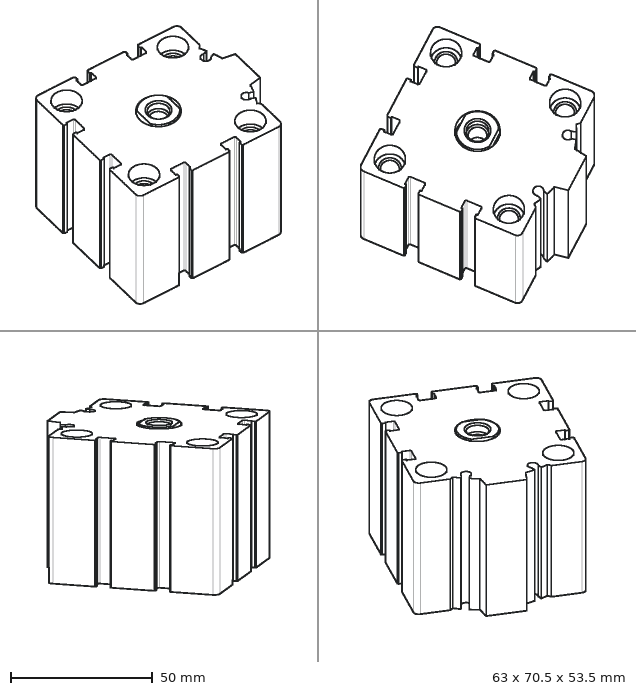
import cadquery as cq
import math

BODY_SIZE = 63.0
BODY_HEIGHT = 53.0
HALF = BODY_SIZE / 2
CORNER_RADIUS = 2.0
OVERALL_DEPTH = 70.5

TAB_TOP_Y = OVERALL_DEPTH - HALF
TAB_TOP_HALF_WIDTH = 7.5
TAB_DRAFT = 10.0
SHOULDER_RADIUS = 35.0
RELIEF_START = 18.5

KEYHOLE_ANGLE = 22.5
KEYHOLE_RADIUS = 31.95
KEYHOLE_DIAMETER = 3.8
KEYHOLE_NECK = 2.95

SLOT_OFFSET = 11.0
SLOT_MOUTH = 5.3
SLOT_WIDTH = 6.5
SLOT_DEPTH = 5.1
SLOT_LIP = 1.7
SLOT_CORNER_RADIUS = 0.5
SLOT_EDGE_CHAMFER = 0.35

HOLE_SPACING = 46.45
HOLE_DIAMETER = 6.6
HOLE_CHAMFER_DIAMETER = 8.0
COUNTERBORE_DIAMETER = 11.0
COUNTERBORE_DEPTH = 6.85

ROD_DIAMETER = 16.0
ROD_TOP = 53.5
ROD_BASE = 14.1
ROD_CHAMFER = 0.5
FLATS_WIDTH = 13.0
FLATS_HEIGHT = 5.0

MOUTH_DIAMETER = 9.4
THREAD_DIAMETER = 8.05
THREAD_DEPTH = 3.25
DRILL_DIAMETER = 6.6
DRILL_DEPTH = 12.0
DRILL_POINT_ANGLE = 118.0


def shoulder_y(x):
    """Height of the round shoulder at a given x."""
    return math.sqrt(SHOULDER_RADIUS**2 - x**2)


def tab_foot_x():
    """Half width of the tab where its drafted side meets the shoulder."""
    slope = math.tan(math.radians(TAB_DRAFT))
    intercept = TAB_TOP_HALF_WIDTH + TAB_TOP_Y * slope
    a = 1 + slope**2
    b = -2 * intercept * slope
    c = intercept**2 - SHOULDER_RADIUS**2
    y = (-b + math.sqrt(b**2 - 4 * a * c)) / (2 * a)
    return intercept - slope * y


def relief_foot_x():
    """Half width where the 45 degree relief cut, y = HALF - (RELIEF_START - x), meets the shoulder."""
    drop = HALF - RELIEF_START
    return (-drop + math.sqrt(2 * SHOULDER_RADIUS**2 - drop**2)) / 2


def housing_blank():
    foot = tab_foot_x()
    relief = relief_foot_x()
    middle = (foot + relief) / 2
    outline = (
        cq.Workplane("XY")
        .moveTo(-HALF, -HALF)
        .lineTo(HALF, -HALF)
        .lineTo(HALF, HALF)
        .lineTo(RELIEF_START, HALF)
        .lineTo(relief, shoulder_y(relief))
        .threePointArc((middle, shoulder_y(middle)), (foot, shoulder_y(foot)))
        .lineTo(TAB_TOP_HALF_WIDTH, TAB_TOP_Y)
        .lineTo(-TAB_TOP_HALF_WIDTH, TAB_TOP_Y)
        .lineTo(-foot, shoulder_y(foot))
        .threePointArc((-middle, shoulder_y(middle)), (-relief, shoulder_y(relief)))
        .lineTo(-RELIEF_START, HALF)
        .lineTo(-HALF, HALF)
        .close()
    )
    corners = cq.selectors.BoxSelector((-HALF - 0.7, -HALF - 0.7, 0), (-HALF + 0.7, HALF + 0.7, BODY_HEIGHT))
    corners += cq.selectors.BoxSelector((HALF - 0.7, -HALF - 0.7, 0), (HALF + 0.7, HALF + 0.7, BODY_HEIGHT))
    return outline.extrude(BODY_HEIGHT).edges("|Z").edges(corners).fillet(CORNER_RADIUS)


def t_slot(side_angle, offset):
    """T-slot cutter for the side reached by turning the -Y side by side_angle about Z."""
    mouth = (
        cq.Workplane("XY")
        .moveTo(-SLOT_MOUTH / 2 - SLOT_EDGE_CHAMFER, 0)
        .lineTo(-SLOT_MOUTH / 2, SLOT_EDGE_CHAMFER)
        .lineTo(-SLOT_MOUTH / 2, SLOT_DEPTH)
        .lineTo(SLOT_MOUTH / 2, SLOT_DEPTH)
        .lineTo(SLOT_MOUTH / 2, SLOT_EDGE_CHAMFER)
        .lineTo(SLOT_MOUTH / 2 + SLOT_EDGE_CHAMFER, 0)
        .close()
        .extrude(BODY_HEIGHT)
    )
    channel = (
        cq.Workplane("XY")
        .box(SLOT_WIDTH, SLOT_DEPTH - SLOT_LIP, BODY_HEIGHT, centered=(True, False, False))
        .edges("|Z and >Y")
        .fillet(SLOT_CORNER_RADIUS)
        .translate((0, SLOT_LIP, 0))
    )
    return mouth.union(channel).translate((offset, -HALF, 0)).rotate((0, 0, 0), (0, 0, 1), side_angle)


def keyhole(angle):
    """Keyhole groove cutter on the ray leaning by angle from +Y."""
    neck_length = TAB_TOP_Y - KEYHOLE_RADIUS
    bulb = cq.Workplane("XY").circle(KEYHOLE_DIAMETER / 2).extrude(BODY_HEIGHT)
    neck = cq.Workplane("XY").box(KEYHOLE_NECK, neck_length, BODY_HEIGHT, centered=(True, False, False))
    return bulb.union(neck).translate((0, KEYHOLE_RADIUS, 0)).rotate((0, 0, 0), (0, 0, 1), angle)


def mounting_hole():
    """Cutter for one through hole, with a chamfer at the floor of its counterbore."""
    floor = BODY_HEIGHT - COUNTERBORE_DEPTH
    chamfer = (HOLE_CHAMFER_DIAMETER - HOLE_DIAMETER) / 2
    return (
        cq.Workplane("XZ")
        .moveTo(0, 0)
        .lineTo(HOLE_DIAMETER / 2, 0)
        .lineTo(HOLE_DIAMETER / 2, floor - chamfer)
        .lineTo(HOLE_CHAMFER_DIAMETER / 2, floor)
        .lineTo(COUNTERBORE_DIAMETER / 2, floor)
        .lineTo(COUNTERBORE_DIAMETER / 2, BODY_HEIGHT)
        .lineTo(0, BODY_HEIGHT)
        .close()
        .revolve(360, (0, 0, 0), (0, 1, 0))
    )


def make_housing():
    housing = housing_blank()
    for side_angle in (0, 90, -90):
        for offset in (-SLOT_OFFSET, SLOT_OFFSET):
            housing = housing.cut(t_slot(side_angle, offset))
    for angle in (-KEYHOLE_ANGLE, KEYHOLE_ANGLE):
        housing = housing.cut(keyhole(angle))
    for x in (-HOLE_SPACING / 2, HOLE_SPACING / 2):
        for y in (-HOLE_SPACING / 2, HOLE_SPACING / 2):
            housing = housing.cut(mounting_hole().translate((x, y, 0)))
    rod_bore = cq.Workplane("XY", origin=(0, 0, ROD_BASE)).circle(ROD_DIAMETER / 2).extrude(BODY_HEIGHT)
    return housing.cut(rod_bore)


def rod_end_hole():
    """Cutter for the stepped hole, with a chamfered mouth and a drill point."""
    mouth_chamfer = (MOUTH_DIAMETER - THREAD_DIAMETER) / 2
    step_chamfer = (THREAD_DIAMETER - DRILL_DIAMETER) / 2
    point_length = DRILL_DIAMETER / 2 / math.tan(math.radians(DRILL_POINT_ANGLE / 2))
    return (
        cq.Workplane("XZ")
        .moveTo(0, ROD_TOP)
        .lineTo(MOUTH_DIAMETER / 2, ROD_TOP)
        .lineTo(THREAD_DIAMETER / 2, ROD_TOP - mouth_chamfer)
        .lineTo(THREAD_DIAMETER / 2, ROD_TOP - THREAD_DEPTH)
        .lineTo(DRILL_DIAMETER / 2, ROD_TOP - THREAD_DEPTH - step_chamfer)
        .lineTo(DRILL_DIAMETER / 2, ROD_TOP - DRILL_DEPTH)
        .lineTo(0, ROD_TOP - DRILL_DEPTH - point_length)
        .close()
        .revolve(360, (0, 0, 0), (0, 1, 0))
    )


def make_rod():
    rod = (
        cq.Workplane("XY", origin=(0, 0, ROD_BASE))
        .circle(ROD_DIAMETER / 2)
        .extrude(ROD_TOP - ROD_BASE)
        .faces(">Z")
        .chamfer(ROD_CHAMFER)
    )
    flat_cutter = (
        cq.Workplane("XY", origin=(0, 0, ROD_TOP - FLATS_HEIGHT))
        .box(ROD_DIAMETER, ROD_DIAMETER, FLATS_HEIGHT, centered=(True, False, False))
    )
    rod = rod.cut(flat_cutter.translate((0, FLATS_WIDTH / 2, 0)))
    rod = rod.cut(flat_cutter.translate((0, -FLATS_WIDTH / 2 - ROD_DIAMETER, 0)))
    return rod.cut(rod_end_hole())


housing = make_housing()
rod = make_rod()

result = cq.Compound.makeCompound([housing.val(), rod.val()])